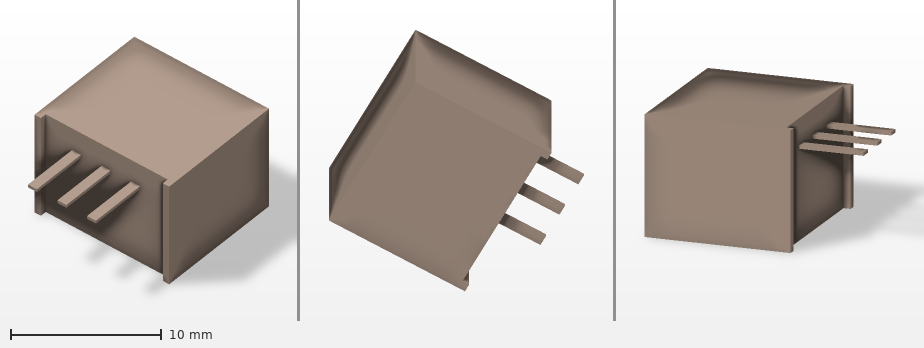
import cadquery as cq

case_width = 11.6
case_depth = 10.4
case_height = 8.5
side_wall = 0.55
top_wall = 0.58
back_wall = top_wall

rim_recess = 0.51

overall_depth = 14.5
pin_count = 3
pin_pitch = 2.54
pin_width = 0.77
pin_thickness = 0.25
pin_row_shift = -0.05
pin_drop_from_top = 1.99

cavity_width = case_width - 2 * side_wall
cavity_height = case_height - 2 * top_wall
filling_depth = case_depth - back_wall - rim_recess
pin_tip_y = case_depth - overall_depth
pin_length = rim_recess - pin_tip_y
pin_row_z = case_height / 2 - pin_drop_from_top


def block(width, depth, height, front_y):
    """Box centred on X and Z that runs from front_y towards +Y."""
    return cq.Workplane("XY").box(width, depth, height, centered=(True, False, True)).translate((0, front_y, 0))


def make_case():
    """Box with a blind cavity and with its top and bottom rims set back between the side walls."""
    outer = block(case_width, case_depth, case_height, 0)
    rim_notch = block(cavity_width, rim_recess, case_height, 0)
    cavity = block(cavity_width, filling_depth, cavity_height, rim_recess)
    return outer.cut(rim_notch).cut(cavity)


def make_filling():
    """Block that fills the cavity, flush with the top and bottom rims."""
    return block(cavity_width, filling_depth, cavity_height, rim_recess)


def make_pin(x):
    """Flat pin that stands on the front face of the filling."""
    return block(pin_width, pin_length, pin_thickness, pin_tip_y).translate((x, 0, pin_row_z))


case = make_case()
filling = make_filling()

pins = []
for index in range(pin_count):
    offset = (index - (pin_count - 1) / 2) * pin_pitch
    pins.append(make_pin(pin_row_shift + offset))

result = cq.Compound.makeCompound([case.val(), filling.val(), *[pin.val() for pin in pins]])